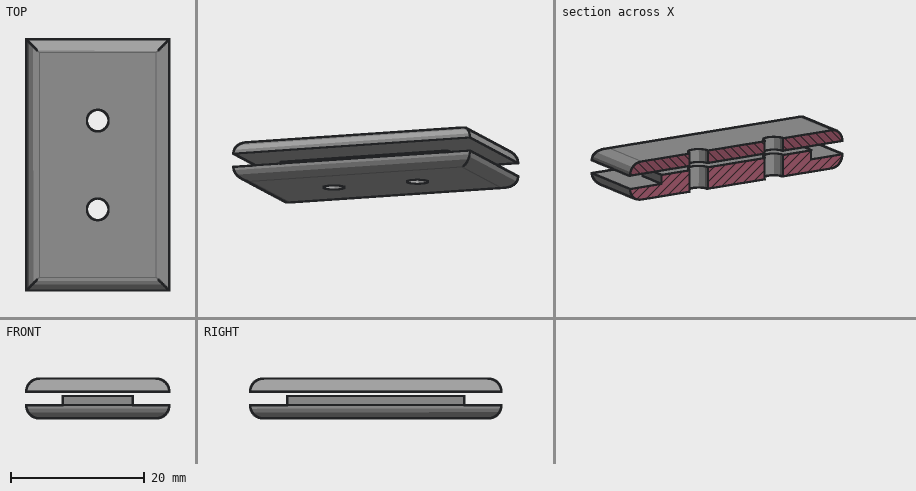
import cadquery as cq

plate_width = 21.5
plate_length = 37.7
stack_height = 6.0
plate_thickness = 2.0

pad_width = 10.55
pad_length = 26.58
pad_height = 1.4

hole_diameter = 3.2
hole_spacing = 13.3


def quarter_round_profile(side_length):
    """Extrude a plate section with a quarter-round edge on both sides, all along the other direction."""
    half_side = side_length / 2
    half_flat = half_side - plate_thickness
    arc_offset = plate_thickness * 0.5 ** 0.5
    return (
        cq.Workplane("XZ")
        .moveTo(-half_side, 0)
        .lineTo(half_side, 0)
        .threePointArc((half_flat + arc_offset, arc_offset), (half_flat, plate_thickness))
        .lineTo(-half_flat, plate_thickness)
        .threePointArc((-half_flat - arc_offset, arc_offset), (-half_side, 0))
        .close()
        .extrude(plate_length / 2, both=True)
    )


def rounded_plate():
    """Plate with its flat face on Z = 0 and quarter-round edges that meet in mitred corners."""
    across_width = quarter_round_profile(plate_width)
    along_length = quarter_round_profile(plate_length).rotate((0, 0, 0), (0, 0, 1), 90)
    return across_width.intersect(along_length)


def drill_screw_holes(body):
    """Cut the two screw holes right through the body."""
    hole_centres = [(0, -hole_spacing / 2), (0, hole_spacing / 2)]
    drills = (
        cq.Workplane("XY")
        .pushPoints(hole_centres)
        .circle(hole_diameter / 2)
        .extrude(stack_height)
    )
    return body.cut(drills)


def make_base_plate():
    """Lower plate, rounded side down, with the raised pad on its flat side."""
    plate = rounded_plate().mirror("XY").translate((0, 0, plate_thickness))
    pad = (
        cq.Workplane("XY")
        .workplane(offset=plate_thickness)
        .rect(pad_width, pad_length)
        .extrude(pad_height)
    )
    return drill_screw_holes(plate.union(pad))


def make_cover_plate():
    """Upper plate, rounded side up, held clear of the pad."""
    plate = rounded_plate().translate((0, 0, stack_height - plate_thickness))
    return drill_screw_holes(plate)


base_plate = make_base_plate()
cover_plate = make_cover_plate()

result = cq.Compound.makeCompound([base_plate.solids().val(), cover_plate.solids().val()])